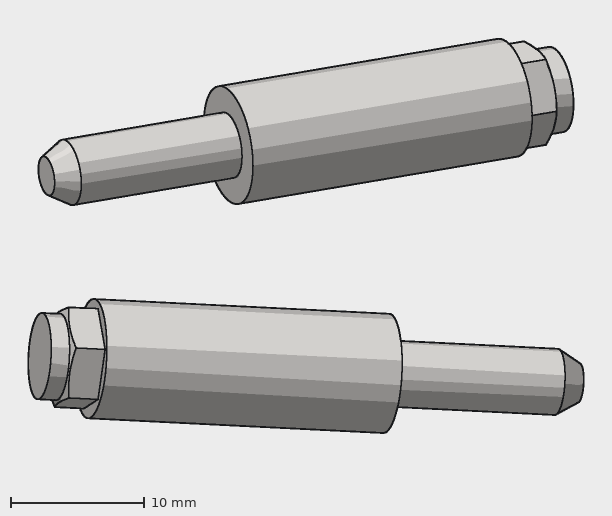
import cadquery as cq
import math

total_length = 42.0
pin_length = 15.0
body_length = 23.0
collar_length = 1.43
hex_length = total_length - pin_length - body_length - collar_length

pin_diameter = 5.0
tip_diameter = 3.0
body_diameter = 9.0
hex_across_flats = 6.95
hex_across_corners = hex_across_flats / math.cos(math.radians(30))
collar_diameter = 6.5

tip_length = (pin_diameter - tip_diameter) / 2 / math.tan(math.radians(30))

bevel_depth = 0.3

body_start = pin_length
hex_start = body_start + body_length
collar_start = hex_start + hex_length


def plane_at(y):
    """Sketch plane facing +Y, with its local x along X."""
    return cq.Plane(origin=(0, y, 0), xDir=(1, 0, 0), normal=(0, 1, 0))


def cylinder(y, diameter, length):
    return cq.Workplane(plane_at(y)).circle(diameter / 2).extrude(length)


def make_pin():
    """Revolved pin with a flat-ended conical tip."""
    return (
        cq.Workplane("XY")
        .lineTo(tip_diameter / 2, 0)
        .lineTo(pin_diameter / 2, tip_length)
        .lineTo(pin_diameter / 2, pin_length)
        .lineTo(0, pin_length)
        .close()
        .revolve(360, (0, 0), (0, 1))
    )


def make_hexagon():
    """Hexagon with corners on the X axis, trimmed by a conical bevel."""
    prism = cq.Workplane(plane_at(hex_start)).polygon(6, hex_across_corners).extrude(hex_length)
    bevel_envelope = (
        cq.Workplane("XY")
        .moveTo(0, hex_start)
        .lineTo(hex_across_corners / 2, hex_start)
        .lineTo(hex_across_corners / 2, collar_start - bevel_depth)
        .lineTo(collar_diameter / 2, collar_start)
        .lineTo(0, collar_start)
        .close()
        .revolve(360, (0, 0), (0, 1))
    )
    return prism.intersect(bevel_envelope)


body = cylinder(body_start, body_diameter, body_length)
collar = cylinder(collar_start, collar_diameter, collar_length)
result = make_pin().union(body).union(make_hexagon()).union(collar)